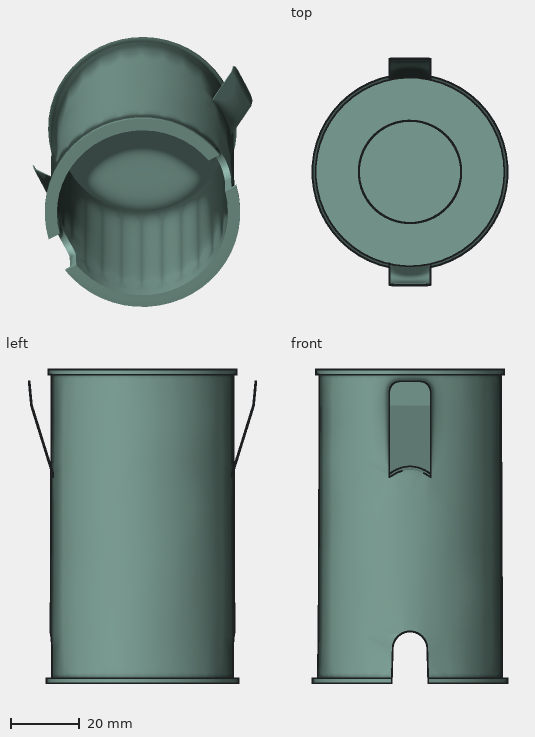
import cadquery as cq
import math

height = 91.5
rim_diameter = 57.0
lid_diameter = 55.0
flange_thickness = 1.5
bottom_diameter = 53.9
wall_draft = math.radians(0.25)
wall_thickness = 2.0
roof_thickness = 3.0

notch_bottom_width = 10.6
notch_arch_radius = 5.0
notch_height = 15.1

clip_width = 12.0
clip_thickness = 0.3
clip_corner_radius = 3.0
clip_span = 66.39
clip_top = 88.0
clip_bend_height = 81.0
clip_root_height = 57.5
clip_tip_lean = math.radians(5.5)
clip_arm_lean = math.radians(17.3)
clip_bend_radius = 2.0

recess_diameter = 30.0
disc_diameter = 29.7
disc_thickness = 1.5

outer_bottom_radius = bottom_diameter / 2
outer_top_radius = outer_bottom_radius - height * math.tan(wall_draft)
ceiling_height = height - roof_thickness
inner_bottom_radius = outer_bottom_radius - wall_thickness
inner_top_radius = inner_bottom_radius - ceiling_height * math.tan(wall_draft)


def cylinder(diameter, thickness, base_height):
    """Upright cylinder on the Z axis."""
    return cq.Workplane("XY").workplane(offset=base_height).circle(diameter / 2).extrude(thickness)


def make_shell():
    """Drafted outer wall with the rim and lid flanges, before it is hollowed."""
    wall = (
        cq.Workplane("XZ")
        .polyline([(0, 0), (outer_bottom_radius, 0), (outer_top_radius, height), (0, height)])
        .close()
        .revolve(360, (0, 0), (0, 1))
    )
    rim = cylinder(rim_diameter, flange_thickness, 0)
    lid = cylinder(lid_diameter, flange_thickness, height - flange_thickness)
    return wall.union(rim).union(lid)


def make_cavity():
    """Drafted hollow that leaves the wall and the roof."""
    return (
        cq.Workplane("XZ")
        .polyline([
            (0, 0),
            (inner_bottom_radius, 0),
            (inner_top_radius, ceiling_height),
            (0, ceiling_height),
        ])
        .close()
        .revolve(360, (0, 0), (0, 1))
    )


def make_notch():
    """Round-topped notch, a little wider at the bottom, running along Y."""
    spring_height = notch_height - notch_arch_radius
    half_bottom = notch_bottom_width / 2
    return (
        cq.Workplane("XZ")
        .moveTo(-half_bottom, 0)
        .lineTo(-notch_arch_radius, spring_height)
        .threePointArc((0, notch_height), (notch_arch_radius, spring_height))
        .lineTo(half_bottom, 0)
        .close()
        .extrude(rim_diameter / 2, both=True)
    )


def make_clip():
    """Bent spring strip on the front side, its lower end buried in the wall."""
    tip_y = -clip_span / 2
    bend_y = tip_y + (clip_top - clip_bend_height) * math.tan(clip_tip_lean)
    root_y = bend_y + (clip_bend_height - clip_root_height) * math.tan(clip_arm_lean)
    strip_depth = clip_thickness / math.cos(clip_arm_lean)
    strip = (
        cq.Workplane("YZ")
        .polyline([
            (tip_y, clip_top),
            (bend_y, clip_bend_height),
            (root_y, clip_root_height),
            (root_y + strip_depth, clip_root_height),
            (bend_y + strip_depth, clip_bend_height),
            (tip_y + strip_depth, clip_top),
        ])
        .close()
        .extrude(clip_width / 2, both=True)
        .edges(cq.selectors.BoxSelector(
            (-clip_width, bend_y - strip_depth, clip_bend_height - strip_depth),
            (clip_width, bend_y + 2 * strip_depth, clip_bend_height + strip_depth),
        ))
        .edges("|X")
        .fillet(clip_bend_radius)
    )
    rounded_front = (
        cq.Workplane("XZ")
        .rect(clip_width, 2 * clip_top)
        .extrude(clip_span)
        .edges("|Y and >Z")
        .fillet(clip_corner_radius)
    )
    return strip.intersect(rounded_front)


def make_housing():
    """Can with notches, disc recess and both clips, as one solid."""
    housing = make_shell().cut(make_cavity()).cut(make_notch())
    housing = housing.cut(cylinder(recess_diameter, disc_thickness, height - disc_thickness))
    clip = make_clip()
    for angle in (0, 180):
        housing = housing.union(clip.rotate((0, 0, 0), (0, 0, 1), angle))
    return housing


def make_disc():
    """Round disc resting on the floor of the roof recess."""
    return cylinder(disc_diameter, disc_thickness, height - disc_thickness)


housing = make_housing()
disc = make_disc()

result = cq.Compound.makeCompound([housing.solids().val(), disc.val()])